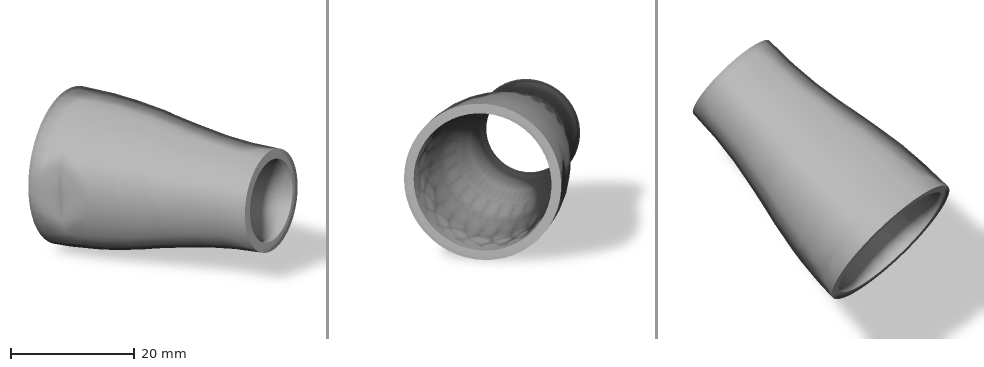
import cadquery as cq
import math

length = 38.0
large_outer_radius = 13.0
small_outer_radius = 8.6
large_bore_radius = 11.4
small_bore_radius = 6.9
end_land = 0.38
cone_length = 7.22


def reducer_solid(large_radius, small_radius):
    """Revolve cylinder, convex arc, cone, concave arc and cylinder, all tangent."""
    arc_length = (length - cone_length) / 2 - end_land
    drop = large_radius - small_radius
    half_tangent = 0.0
    for _ in range(50):
        half_tangent = drop / (2 * arc_length + 2 * cone_length / (1 - half_tangent**2))
    angle = 2 * math.atan(half_tangent)
    arc_radius = arc_length / math.sin(angle)
    arc_drop = arc_radius * (1 - math.cos(angle))
    mid_run = arc_radius * math.sin(angle / 2)
    mid_drop = arc_radius * (1 - math.cos(angle / 2))

    cone_start = end_land + arc_length
    cone_end = cone_start + cone_length
    return (
        cq.Workplane("XY")
        .moveTo(0, 0)
        .lineTo(0, large_radius)
        .lineTo(end_land, large_radius)
        .threePointArc(
            (end_land + mid_run, large_radius - mid_drop),
            (cone_start, large_radius - arc_drop),
        )
        .lineTo(cone_end, small_radius + arc_drop)
        .threePointArc(
            (length - end_land - mid_run, small_radius + mid_drop),
            (length - end_land, small_radius),
        )
        .lineTo(length, small_radius)
        .lineTo(length, 0)
        .close()
        .revolve(360, (0, 0, 0), (1, 0, 0))
    )


body = reducer_solid(large_outer_radius, small_outer_radius)
bore = reducer_solid(large_bore_radius, small_bore_radius)
result = body.cut(bore)